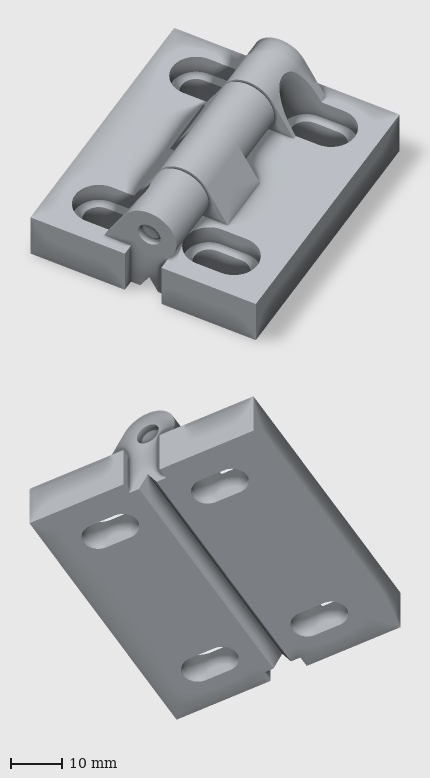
import cadquery as cq
import math

overall_width = 50.0
overall_height = 21.0
leaf_length = 59.0
leaf_thickness = 10.05

knuckle_radius = 6.0
knuckle_length = 13.15
knuckle_clearance = 0.65
axis_height = overall_height - knuckle_radius
outer_knuckle_start = knuckle_length + knuckle_clearance
knuckle_end = outer_knuckle_start + knuckle_length

arm_angle = math.radians(59.1)
arm_slope = math.tan(arm_angle)
tangent_x = knuckle_radius * math.sin(arm_angle)
tangent_rise = knuckle_radius * math.cos(arm_angle)
upper_tangent_z = axis_height + tangent_rise
lower_tangent_z = axis_height - tangent_rise
upper_side_foot_x = -tangent_x - (upper_tangent_z - leaf_thickness) / arm_slope
lower_side_foot_x = tangent_x - lower_tangent_z / arm_slope
lower_side_mid_z = -lower_side_foot_x * arm_slope

plate_inner_x = lower_side_foot_x + leaf_thickness / arm_slope
leaf_width = overall_width / 2 - plate_inner_x

slot_straight = 5.5
slot_width = 6.5
recess_width = 10.5
recess_depth = 4.15
slot_x = 12.2
slot_y = 19.95

loose_bore_diameter = 5.0
pin_diameter = 4.9
pin_end_diameter = 3.1
pin_rim_radius = (pin_diameter - pin_end_diameter) / 2
pin_inset = 1.0


def make_plate():
    """Flat plate of the leaf on the -X side."""
    return (
        cq.Workplane("XY")
        .box(leaf_width, leaf_length, leaf_thickness, centered=(False, True, False))
        .translate((-overall_width / 2, 0, 0))
    )


def make_wedge():
    """Pointed inner edge of the leaf, which supports its arms and runs under the opposite ones."""
    return (
        cq.Workplane("XZ")
        .moveTo(-plate_inner_x, 0)
        .lineTo(-plate_inner_x, leaf_thickness)
        .lineTo(0, lower_side_mid_z)
        .lineTo(lower_side_foot_x, 0)
        .close()
        .extrude(knuckle_end, both=True)
    )


def make_arm(y_start):
    """Sloping arm rising from the leaf and rounded around the hinge axis to form a knuckle."""
    return (
        cq.Workplane("XZ", origin=(0, y_start, 0))
        .moveTo(upper_side_foot_x, leaf_thickness)
        .lineTo(-tangent_x, upper_tangent_z)
        .threePointArc((tangent_rise, axis_height + tangent_x), (tangent_x, lower_tangent_z))
        .lineTo(lower_side_foot_x, 0)
        .lineTo(upper_side_foot_x, 0)
        .close()
        .extrude(-knuckle_length)
    )


def slot_cutter(y, width, bottom, top):
    """Upright round-ended slot, long along X."""
    return (
        cq.Workplane("XY", origin=(-slot_x, y, bottom))
        .slot2D(slot_straight + width, width)
        .extrude(top - bottom)
    )


def axis_cylinder(diameter, half_length):
    """Cylinder on the hinge axis, centred along Y."""
    return (
        cq.Workplane("XZ", origin=(0, 0, axis_height))
        .circle(diameter / 2)
        .extrude(half_length, both=True)
    )


def make_leaf(bore_diameter):
    """Leaf on the -X side: plate, wedge and two arms, with screw slots and pin bore."""
    leaf = make_plate().union(make_wedge())
    for y_start in (-knuckle_end, 0):
        leaf = leaf.union(make_arm(y_start))
    for y in (-slot_y, slot_y):
        leaf = leaf.cut(slot_cutter(y, slot_width, 0, leaf_thickness))
        leaf = leaf.cut(slot_cutter(y, recess_width, leaf_thickness - recess_depth, overall_height))
    return leaf.cut(axis_cylinder(bore_diameter, knuckle_end))


def make_pin():
    """Hinge pin with rounded rims at both ends."""
    pin = axis_cylinder(pin_diameter, knuckle_end - pin_inset)
    return pin.faces("<Y or >Y").edges().fillet(pin_rim_radius)


left_leaf = make_leaf(loose_bore_diameter)
right_leaf = make_leaf(pin_diameter).rotate((0, 0, 0), (0, 0, 1), 180)
pin = make_pin()

result = cq.Compound.makeCompound([left_leaf.val(), right_leaf.val(), pin.val()])